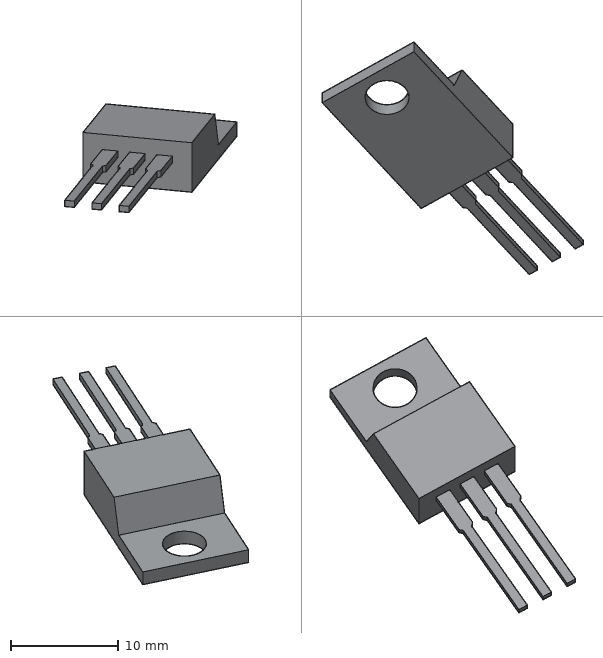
import cadquery as cq

TOTAL_LENGTH = 30.02
WIDTH = 10.55
BODY_HEIGHT = 4.92

TAB_LENGTH = 6.45
TAB_THICKNESS = 1.45
HOLE_DIAMETER = 4.08
HOLE_TO_TAB_END = 3.03

BODY_LENGTH = 9.35
SLOPE_RUN = 1.25

LEAD_COUNT = 3
LEAD_PITCH = 2.65
LEAD_THICKNESS = 0.63
LEAD_CENTER_HEIGHT = 3.1
SHOULDER_WIDTH = 1.5
SHOULDER_LENGTH = 4.05
TIP_WIDTH = 0.93

TAB_START = BODY_LENGTH
TAB_END = BODY_LENGTH + TAB_LENGTH
LEAD_LENGTH = TOTAL_LENGTH - TAB_END


def make_housing():
    """Body and tab as one side profile, extruded across the width."""
    profile = [
        (0, 0),
        (TAB_END, 0),
        (TAB_END, TAB_THICKNESS),
        (TAB_START, TAB_THICKNESS),
        (TAB_START - SLOPE_RUN, BODY_HEIGHT),
        (0, BODY_HEIGHT),
    ]
    return cq.Workplane("YZ").polyline(profile).close().extrude(WIDTH / 2, both=True)


def make_hole_cutter():
    """Cylinder for the mounting hole through the tab."""
    return (
        cq.Workplane("XY")
        .center(0, TAB_END - HOLE_TO_TAB_END)
        .circle(HOLE_DIAMETER / 2)
        .extrude(TAB_THICKNESS)
    )


def make_lead(center_x):
    """Flat lead with a wide shoulder narrowing at 45 degrees to a slim tip."""
    shoulder_half = SHOULDER_WIDTH / 2
    tip_half = TIP_WIDTH / 2
    taper_end = SHOULDER_LENGTH + shoulder_half - tip_half
    outline = [
        (-shoulder_half, 0),
        (-shoulder_half, -SHOULDER_LENGTH),
        (-tip_half, -taper_end),
        (-tip_half, -LEAD_LENGTH),
        (tip_half, -LEAD_LENGTH),
        (tip_half, -taper_end),
        (shoulder_half, -SHOULDER_LENGTH),
        (shoulder_half, 0),
    ]
    return (
        cq.Workplane("XY", origin=(center_x, 0, LEAD_CENTER_HEIGHT))
        .polyline(outline)
        .close()
        .extrude(LEAD_THICKNESS / 2, both=True)
    )


result = make_housing().cut(make_hole_cutter())
for index in range(LEAD_COUNT):
    lead_x = (index - (LEAD_COUNT - 1) / 2) * LEAD_PITCH
    result = result.union(make_lead(lead_x))